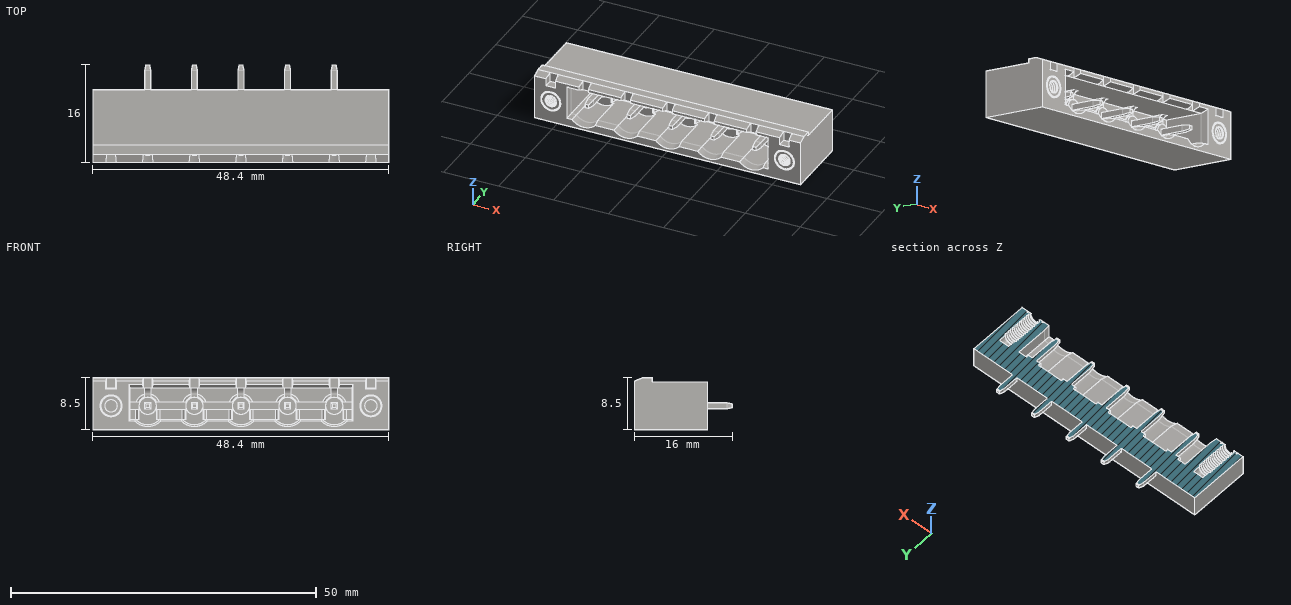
import cadquery as cq

LENGTH = 48.4
DEPTH = 11.95
HEIGHT = 8.5
ROOF_Z = 7.85
LIP_DEPTH = 2.9
BEVEL_DEPTH = 1.3
LIP_FRONT_Z = 8.0

CONTACTS = 5
CONTACT_SPAN = 30.5
PITCH = CONTACT_SPAN / (CONTACTS - 1)
AXIS_Z = 3.9
PIN_SIZE = 1.0
PIN_TIP_SIZE = 0.65
PIN_FRONT_Y = 1.15
PIN_BACK_Y = 16.0
FRONT_TAPER = 1.4
BACK_TAPER = 0.9

MOUTH_HALF_WIDTH = 18.3
MOUTH_BOTTOM_Z = 1.45
MOUTH_TOP_Z = 7.4
CAVITY_HALF_WIDTH = 18.15
CAVITY_BOTTOM_Z = 1.7
CAVITY_TOP_Z = 6.8
CAVITY_DEPTH = 8.7

SCALLOP_Z = 3.45
SCALLOP_RADIUS = 2.6
SCALLOP_MOUTH_RADIUS = 2.9

SUPPORT_FRONT_Y = 7.5
SUPPORT_BASE_RADIUS = 2.0
SUPPORT_TIP_RADIUS = 1.55
NECK_RADIUS = 1.4
STEP = 0.25
NECK_FRONT_Y = SUPPORT_FRONT_Y - STEP
COLLAR_FRONT_Y = NECK_FRONT_Y - STEP
RIB_BOTTOM_Z = 3.35
RIB_TOP_Z = 4.55
WEB_WIDTH = 1.05
WEB_FILLET = 0.95

NOTCH_FRONT_WIDTH = 1.75
NOTCH_BACK_WIDTH = 1.45
END_NOTCH_FLOOR_Z = 6.7

INSERT_INSET = 2.95
INSERT_RADIUS = 1.65
INSERT_BORE_RADIUS = 1.0
INSERT_BORE_DEPTH = 7.75
THREAD_ROOT_RADIUS = 1.25
THREAD_PITCH = 0.45
THREAD_TURNS = 14
INSERT_GAP_RADIUS = 1.8
INSERT_GAP_DEPTH = 0.25

contact_xs = [i * PITCH - CONTACT_SPAN / 2 for i in range(CONTACTS)]
insert_xs = [INSERT_INSET - LENGTH / 2, LENGTH / 2 - INSERT_INSET]


def block(x_min, x_max, y_min, y_max, z_min, z_max):
    """Axis-aligned box between two corners."""
    size = (x_max - x_min, y_max - y_min, z_max - z_min)
    return cq.Workplane("XY").box(*size, centered=False).translate((x_min, y_min, z_min))


def facing_back(y, x=0.0, z=0.0):
    """Workplane at depth y that extrudes toward +Y; its own y axis points to -Z."""
    return cq.Workplane(cq.Plane(origin=(x, y, z), xDir=(1, 0, 0), normal=(0, 1, 0)))


def cylinder(x, z, y_min, y_max, radius):
    """Round bar along Y."""
    return facing_back(y_min, x, z).circle(radius).extrude(y_max - y_min)


def cone(x, z, y_min, y_max, front_radius, back_radius):
    """Truncated cone along Y."""
    length = y_max - y_min
    start = cq.Vector(x, y_min, z)
    solid = cq.Solid.makeCone(front_radius, back_radius, length, start, cq.Vector(0, 1, 0))
    return cq.Workplane(solid)


def square_taper(x, y_min, y_max, front_size, back_size):
    """Truncated pyramid along Y on the contact axis."""
    base = facing_back(y_min, x, AXIS_Z).rect(front_size, front_size)
    return base.workplane(offset=y_max - y_min).rect(back_size, back_size).loft(ruled=True)


def housing():
    """Plain housing with the raised, bevelled lip along its front."""
    side = [
        (0, 0),
        (DEPTH, 0),
        (DEPTH, ROOF_Z),
        (LIP_DEPTH, ROOF_Z),
        (LIP_DEPTH, HEIGHT),
        (BEVEL_DEPTH, HEIGHT),
        (0, LIP_FRONT_Z),
    ]
    return cq.Workplane("YZ").polyline(side).close().extrude(LENGTH / 2, both=True)


def cavity():
    """Space for the plug: tapered lead-in, straight pocket and floor scallops."""
    mouth_height = MOUTH_TOP_Z - MOUTH_BOTTOM_Z
    inner_height = CAVITY_TOP_Z - CAVITY_BOTTOM_Z
    centre_shift = (MOUTH_TOP_Z + MOUTH_BOTTOM_Z - CAVITY_TOP_Z - CAVITY_BOTTOM_Z) / 2
    lead_in = (
        facing_back(0, 0, (MOUTH_TOP_Z + MOUTH_BOTTOM_Z) / 2)
        .rect(2 * MOUTH_HALF_WIDTH, mouth_height)
        .workplane(offset=BEVEL_DEPTH)
        .center(0, centre_shift)
        .rect(2 * CAVITY_HALF_WIDTH, inner_height)
        .loft(ruled=True)
    )
    half_width = CAVITY_HALF_WIDTH
    pocket = block(-half_width, half_width, BEVEL_DEPTH, CAVITY_DEPTH, CAVITY_BOTTOM_Z, CAVITY_TOP_Z)
    space = lead_in.union(pocket)
    for x in contact_xs:
        scallop = cylinder(x, SCALLOP_Z, BEVEL_DEPTH, NECK_FRONT_Y, SCALLOP_RADIUS)
        flare = cone(x, SCALLOP_Z, 0, BEVEL_DEPTH, SCALLOP_MOUTH_RADIUS, SCALLOP_RADIUS)
        space = space.union(scallop).union(flare)
    return space


def notch(x, front_floor_z):
    """Notch through the lip, wider in front; its floor ends level with the cavity ceiling."""
    front_height = HEIGHT - front_floor_z
    back_height = HEIGHT - CAVITY_TOP_Z
    return (
        facing_back(0, x, HEIGHT - front_height / 2)
        .rect(NOTCH_FRONT_WIDTH, front_height)
        .workplane(offset=BEVEL_DEPTH)
        .center(0, (back_height - front_height) / 2)
        .rect(NOTCH_BACK_WIDTH, back_height)
        .loft(ruled=True)
    )


def support(x):
    """Tapered boss behind a contact, carried down to the floor and up to the ceiling."""
    boss = cone(x, AXIS_Z, SUPPORT_FRONT_Y, CAVITY_DEPTH, SUPPORT_TIP_RADIUS, SUPPORT_BASE_RADIUS)
    leg_outline = [
        (x - NECK_RADIUS, NECK_FRONT_Y),
        (x + NECK_RADIUS, NECK_FRONT_Y),
        (x + NECK_RADIUS, SUPPORT_FRONT_Y),
        (x + SUPPORT_TIP_RADIUS, SUPPORT_FRONT_Y),
        (x + SUPPORT_BASE_RADIUS, CAVITY_DEPTH),
        (x - SUPPORT_BASE_RADIUS, CAVITY_DEPTH),
        (x - SUPPORT_TIP_RADIUS, SUPPORT_FRONT_Y),
        (x - NECK_RADIUS, SUPPORT_FRONT_Y),
    ]
    leg_base = cq.Workplane("XY", origin=(0, 0, CAVITY_BOTTOM_Z))
    leg = leg_base.polyline(leg_outline).close().extrude(AXIS_Z - CAVITY_BOTTOM_Z)
    collar = cylinder(x, AXIS_Z, COLLAR_FRONT_Y, CAVITY_DEPTH, NECK_RADIUS)
    web = (
        cq.Workplane("YZ", origin=(x, 0, 0))
        .moveTo(CAVITY_DEPTH, AXIS_Z)
        .lineTo(SUPPORT_FRONT_Y, AXIS_Z)
        .lineTo(SUPPORT_FRONT_Y, CAVITY_TOP_Z - WEB_FILLET)
        .radiusArc((SUPPORT_FRONT_Y - WEB_FILLET, CAVITY_TOP_Z), -WEB_FILLET)
        .lineTo(CAVITY_DEPTH, CAVITY_TOP_Z)
        .close()
        .extrude(WEB_WIDTH / 2, both=True)
    )
    return boss.union(leg).union(collar).union(web)


def pin(x):
    """Square contact pin, tapered at both ends."""
    half = PIN_SIZE / 2
    shank_front = PIN_FRONT_Y + FRONT_TAPER
    shank_back = PIN_BACK_Y - BACK_TAPER
    shank = block(x - half, x + half, shank_front, shank_back, AXIS_Z - half, AXIS_Z + half)
    front_tip = square_taper(x, PIN_FRONT_Y, shank_front, PIN_TIP_SIZE, PIN_SIZE)
    back_tip = square_taper(x, shank_back, PIN_BACK_Y, PIN_SIZE, PIN_TIP_SIZE)
    return shank.union(front_tip).union(back_tip)


def threaded_bore(x):
    """Screw bore whose thread is a row of V-shaped ring grooves."""
    outline = [(0, 0), (INSERT_BORE_RADIUS, 0)]
    for turn in range(THREAD_TURNS):
        start = (turn + 0.5) * THREAD_PITCH
        outline.append((INSERT_BORE_RADIUS, start))
        outline.append((THREAD_ROOT_RADIUS, start + THREAD_PITCH / 2))
    thread_end = (THREAD_TURNS + 0.5) * THREAD_PITCH
    outline.append((INSERT_BORE_RADIUS, thread_end))
    outline.append((INSERT_BORE_RADIUS, INSERT_BORE_DEPTH))
    outline.append((0, INSERT_BORE_DEPTH))
    profile = cq.Workplane("XY", origin=(x, 0, AXIS_Z)).polyline(outline).close()
    return profile.revolve(360, (0, 0, 0), (0, 1, 0))


def insert_cut(x):
    """Threaded bore and the narrow ring gap around the insert."""
    gap = facing_back(0, x, AXIS_Z).circle(INSERT_GAP_RADIUS).circle(INSERT_RADIUS).extrude(INSERT_GAP_DEPTH)
    return threaded_bore(x).union(gap)


result = housing().cut(cavity())
for x in insert_xs:
    result = result.cut(notch(x, END_NOTCH_FLOOR_Z)).cut(insert_cut(x))

rib = block(
    -CAVITY_HALF_WIDTH, CAVITY_HALF_WIDTH, SUPPORT_FRONT_Y, CAVITY_DEPTH, RIB_BOTTOM_Z, RIB_TOP_Z
)
result = result.union(rib)
for x in contact_xs:
    result = result.cut(notch(x, CAVITY_TOP_Z)).union(support(x)).union(pin(x))